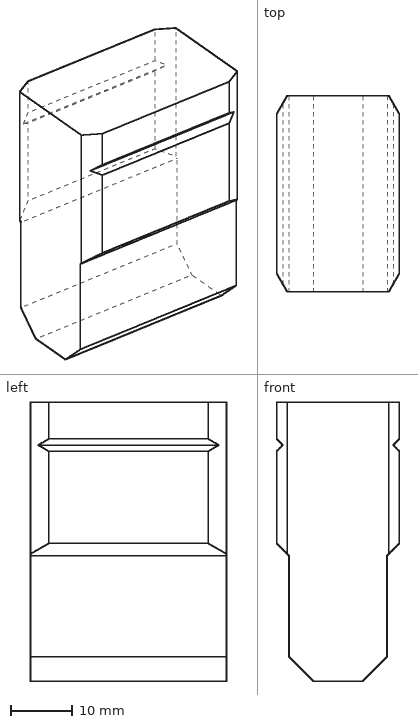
import cadquery as cq

width = 20.0
depth = 32.0
height = 45.5

head_height = 25.02
step = 2.0
tip_chamfer = 4.0

corner_x = 1.75
corner_y = 3.0

groove_drop = 7.0
groove_depth = 1.0

half_width = width / 2
half_depth = depth / 2
shank_half = half_width - step
head_bottom = height - head_height
groove_z = height - groove_drop


def extrude_along_y(points):
    """Extrude an XZ outline over the full depth, centred on Y."""
    return cq.Workplane("XZ").polyline(points).close().extrude(half_depth, both=True)


def make_shank():
    right = [
        (shank_half - tip_chamfer, 0),
        (shank_half, tip_chamfer),
        (shank_half, height),
    ]
    left = [(-x, z) for x, z in reversed(right)]
    return extrude_along_y(right + left)


def make_head():
    right = [
        (shank_half, head_bottom),
        (half_width, head_bottom + step),
        (half_width, groove_z - groove_depth),
        (half_width - groove_depth, groove_z),
        (half_width, groove_z + groove_depth),
        (half_width, height),
    ]
    left = [(-x, z) for x, z in reversed(right)]
    return extrude_along_y(right + left)


def make_corner_envelope():
    """Full-height octagon that bevels the vertical corners of the head."""
    flat_x = half_width - corner_x
    flat_y = half_depth - corner_y
    points = [
        (flat_x, -half_depth),
        (half_width, -flat_y),
        (half_width, flat_y),
        (flat_x, half_depth),
        (-flat_x, half_depth),
        (-half_width, flat_y),
        (-half_width, -flat_y),
        (-flat_x, -half_depth),
    ]
    return cq.Workplane("XY").polyline(points).close().extrude(height)


result = make_head().intersect(make_corner_envelope()).union(make_shank())